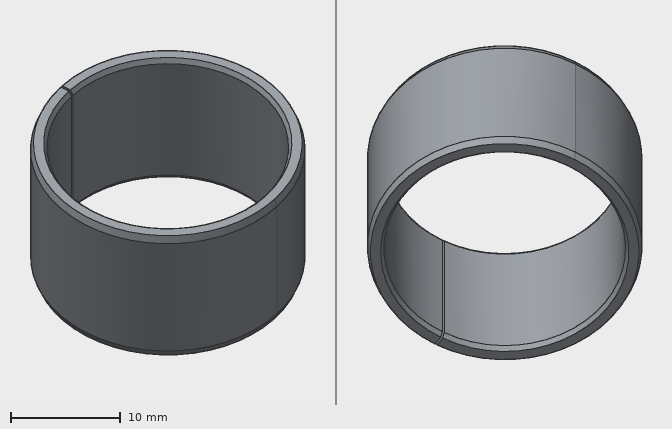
import cadquery as cq
import math

outer_diameter = 25.0
wall = 1.5
length = 15.0

outer_chamfer_height = 0.75
outer_chamfer_angle = 20.0
outer_chamfer_depth = outer_chamfer_height * math.tan(math.radians(outer_chamfer_angle))
inner_chamfer_height = 0.5
inner_chamfer_depth = 0.3

slit_width = 0.2

outer_radius = outer_diameter / 2
inner_radius = outer_radius - wall
half_length = length / 2


def sleeve():
    """Revolve the chamfered wall section around Z, centred on the origin."""
    end_outer_radius = outer_radius - outer_chamfer_depth
    end_inner_radius = inner_radius + inner_chamfer_depth
    outer_shoulder = half_length - outer_chamfer_height
    inner_shoulder = half_length - inner_chamfer_height
    section = [
        (inner_radius, -inner_shoulder),
        (end_inner_radius, -half_length),
        (end_outer_radius, -half_length),
        (outer_radius, -outer_shoulder),
        (outer_radius, outer_shoulder),
        (end_outer_radius, half_length),
        (end_inner_radius, half_length),
        (inner_radius, inner_shoulder),
    ]
    return cq.Workplane("XZ").polyline(section).close().revolve(360, (0, 0, 0), (0, 1, 0))


def slit():
    """Thin cutter through the wall on the -X side."""
    cutter = cq.Workplane("XY").box(outer_radius, slit_width, length)
    return cutter.translate((-outer_radius, slit_width / 2, 0))


result = sleeve().cut(slit())